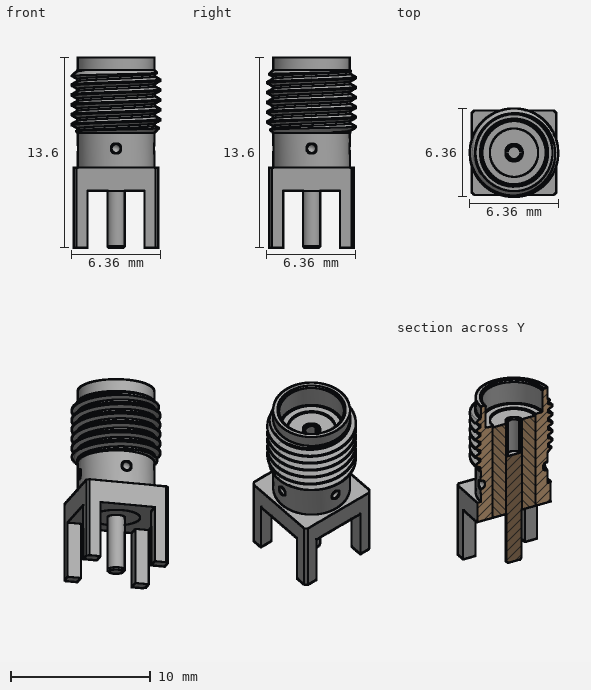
import cadquery as cq
import math


base_width = 6.07
base_corner_chamfer = 0.19
base_bottom_z = 4.09
base_top_z = 5.74
leg_width = 1.01
leg_gap = base_width - 2 * leg_width

top_z = 13.63
barrel_radius = 2.75
mating_bore_radius = 2.32
mating_bore_depth = 1.9
mouth_chamfer = 0.12
floor_chamfer = 0.05

thread_bottom_z = 8.23
thread_top_z = 12.73
thread_radius = 3.18
six_turn_height = 4.24
thread_pitch = six_turn_height / 6
thread_start_z = 7.41
groove_root_width = thread_pitch / 4
groove_overrun = 0.04
flank_slope = math.tan(math.radians(30))
crest_width = thread_pitch / 8
thread_depth = (thread_pitch - crest_width - groove_root_width) / (2 * flank_slope)
thread_root_radius = thread_radius - thread_depth
thread_chamfer = thread_radius - barrel_radius

dimple_count = 4
dimple_radius = 0.37
dimple_recess_depth = 0.04
dome_radius = 0.33
dimple_z = 7.11

insulator_radius = 1.73
insulator_recess = 0.12
insulator_top_z = top_z - mating_bore_depth - insulator_recess

contact_radius = 0.63
contact_tip_chamfer = 0.14
socket_radius = 0.46
socket_depth = 2.73
socket_lead_in = 0.11
slot_width = 0.2


def make_base():
    """Square block with chamfered corners, cleared crosswise to leave four legs."""
    block = (
        cq.Workplane("XY")
        .rect(base_width, base_width)
        .extrude(base_top_z)
        .edges("|Z")
        .chamfer(base_corner_chamfer)
    )
    channel_x = cq.Workplane("XY").rect(base_width, leg_gap).extrude(base_bottom_z)
    channel_y = cq.Workplane("XY").rect(leg_gap, base_width).extrude(base_bottom_z)
    return block.cut(channel_x).cut(channel_y)


def revolve_section(points):
    """Solid of revolution about Z from (radius, z) points."""
    return cq.Workplane("XZ").polyline(points).close().revolve(360, (0, 0, 0), (0, 1, 0))


def make_groove_turn():
    """One turn of the thread groove, starting on the +X side at thread_start_z."""
    outer_radius = thread_radius + groove_overrun
    root_half = groove_root_width / 2
    mouth_half = root_half + (outer_radius - thread_root_radius) * flank_slope
    path = cq.Wire.makeHelix(thread_pitch, thread_pitch, thread_root_radius)
    return (
        cq.Workplane("XZ")
        .polyline([
            (thread_root_radius, -root_half),
            (outer_radius, -mouth_half),
            (outer_radius, mouth_half),
            (thread_root_radius, root_half),
        ])
        .close()
        .sweep(cq.Workplane(path), isFrenet=True)
        .translate((0, 0, thread_start_z))
    )


def make_thread():
    """Cylinder with chamfered ends and a helical groove, cut one turn at a time."""
    thread = revolve_section([
        (0, thread_bottom_z),
        (barrel_radius, thread_bottom_z),
        (thread_radius, thread_bottom_z + thread_chamfer),
        (thread_radius, thread_top_z - thread_chamfer),
        (barrel_radius, thread_top_z),
        (0, thread_top_z),
    ]).rotate((0, 0, 0), (0, 0, 1), -90)
    groove_turn = make_groove_turn()
    turn_count = math.ceil((thread_top_z - thread_start_z) / thread_pitch) + 1
    for turn in range(turn_count):
        thread = thread.cut(groove_turn.translate((0, 0, turn * thread_pitch)))
    return thread


def make_mating_bore():
    """Open bore in the top of the barrel, flared at the mouth and bevelled at the floor."""
    floor_z = top_z - mating_bore_depth
    return revolve_section([
        (0, floor_z),
        (mating_bore_radius - floor_chamfer, floor_z),
        (mating_bore_radius, floor_z + floor_chamfer),
        (mating_bore_radius, top_z - mouth_chamfer),
        (mating_bore_radius + mouth_chamfer, top_z),
        (0, top_z),
    ])


def make_dimple():
    """Cutter for the dimple on the -Y side: a shallow round recess with a domed floor."""
    dome_start = dimple_recess_depth
    cutter = (
        cq.Workplane("XY")
        .moveTo(0, -dimple_radius)
        .lineTo(dimple_radius, -dimple_radius)
        .lineTo(dimple_radius, dome_start)
        .lineTo(dome_radius, dome_start)
        .radiusArc((0, dome_start + dome_radius), -dome_radius)
        .close()
        .revolve(360, (0, 0, 0), (0, 1, 0))
    )
    return cutter.translate((0, -barrel_radius, dimple_z))


def make_housing():
    """Base, barrel and thread in one piece, bored right through for the insulator."""
    barrel = (
        cq.Workplane("XY")
        .workplane(offset=base_top_z)
        .circle(barrel_radius)
        .extrude(top_z - base_top_z)
    )
    insulator_hole = (
        cq.Workplane("XY")
        .workplane(offset=base_bottom_z)
        .circle(insulator_radius)
        .extrude(top_z - base_bottom_z)
    )
    shell = make_base().union(barrel).union(make_thread())
    shell = shell.cut(make_mating_bore()).cut(insulator_hole)
    dimple = make_dimple()
    for index in range(dimple_count):
        shell = shell.cut(dimple.rotate((0, 0, 0), (0, 0, 1), index * 360 / dimple_count))
    return shell


def make_insulator():
    """Sleeve that fills the space between the housing and the contact."""
    return (
        cq.Workplane("XY")
        .workplane(offset=base_bottom_z)
        .circle(insulator_radius)
        .circle(contact_radius)
        .extrude(insulator_top_z - base_bottom_z)
    )


def make_contact():
    """Round pin with a chamfered tip below and a slotted socket above."""
    socket_floor_z = insulator_top_z - socket_depth
    pin = revolve_section([
        (0, 0),
        (contact_radius - contact_tip_chamfer, 0),
        (contact_radius, contact_tip_chamfer),
        (contact_radius, insulator_top_z),
        (socket_radius + socket_lead_in, insulator_top_z),
        (socket_radius, insulator_top_z - socket_lead_in),
        (socket_radius, socket_floor_z),
        (0, socket_floor_z),
    ])
    slot = (
        cq.Workplane("XY")
        .workplane(offset=socket_floor_z)
        .rect(2 * contact_radius, slot_width)
        .extrude(socket_depth)
    )
    return pin.cut(slot)


housing = make_housing()
insulator = make_insulator()
contact = make_contact()

result = cq.Compound.makeCompound([
    housing.solids().val(),
    insulator.solids().val(),
    contact.solids().val(),
])